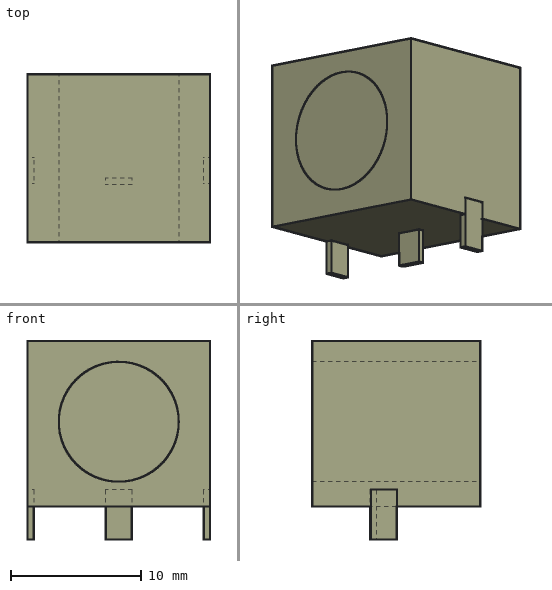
import cadquery as cq

housing_width = 14.0
housing_depth = 12.9
housing_height = 12.7
front_y = -housing_depth / 2

insert_diameter = 9.2
insert_height = 6.5

pin_width = 2.0
pin_thickness = 0.5
pin_drop = 2.54
pin_embed = 1.3
pin_length = pin_drop + pin_embed
side_pin_setback = 5.5
center_pin_setback = 4.45

side_pin_x = (housing_width - pin_thickness) / 2
side_pin_y = front_y + side_pin_setback
center_pin_y = front_y + center_pin_setback + pin_thickness / 2


def make_insert():
    """Plain cylinder along Y, as long as the housing is deep."""
    return (
        cq.Workplane("XZ", origin=(0, front_y, insert_height))
        .circle(insert_diameter / 2)
        .extrude(-housing_depth)
    )


def make_pin(x, y, size_x, size_y):
    """Upright blade from the pin tip to the top of its pocket."""
    return (
        cq.Workplane("XY", origin=(x, y, -pin_drop))
        .rect(size_x, size_y)
        .extrude(pin_length)
    )


def make_housing(embedded_bodies):
    """Block with a matching opening for each body that goes into it."""
    block = cq.Workplane("XY").box(
        housing_width, housing_depth, housing_height, centered=(True, True, False)
    )
    for body in embedded_bodies:
        block = block.cut(body)
    return block


insert = make_insert()

side_pins = [
    make_pin(side * side_pin_x, side_pin_y, pin_thickness, pin_width) for side in (-1, 1)
]

center_pin = make_pin(0, center_pin_y, pin_width, pin_thickness)

housing = make_housing([insert, center_pin, *side_pins])

result = cq.Compound.makeCompound(
    [
        housing.val(),
        insert.val(),
        center_pin.val(),
        *[pin.val() for pin in side_pins],
    ]
)